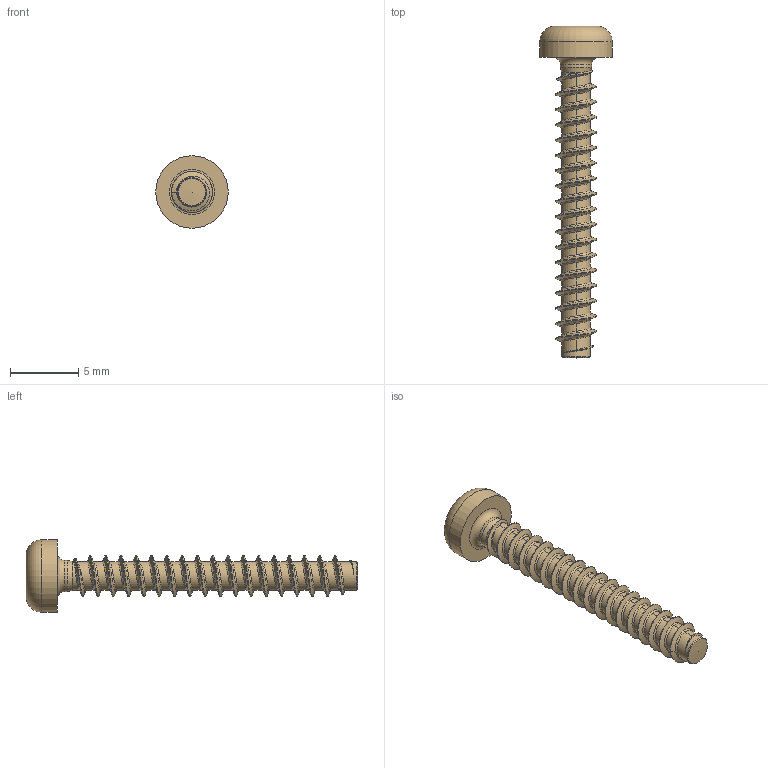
import cadquery as cq
import math

head_diameter = 5.3
head_height = 2.3
head_round = head_height / 2
shank_length = 22.0

neck_diameter = 2.3
neck_fillet = 0.5
neck_length = 0.73
neck_taper_length = 0.35

core_diameter = 2.1
tip_diameter = 2.02
tip_chamfer_length = 0.06
point_height = 0.04

thread_diameter = 3.0
pitch = 1.12
crest_width = 0.05
knee_diameter = 2.26
knee_width = 0.32
flare_width = 0.56
root_depth_in_core = 0.05
runout_start_scale = 0.08
tip_full_thread = 1.39
full_turns = 16.75
tip_runout_turns = 1.0
head_runout_turns = 1.25
full_thread_angle = 180.0

head_radius = head_diameter / 2
neck_radius = neck_diameter / 2
core_radius = core_diameter / 2
tip_radius = tip_diameter / 2
crest_radius = thread_diameter / 2
knee_radius = knee_diameter / 2
root_radius = core_radius - root_depth_in_core
flare_slope = (flare_width - knee_width) / (knee_radius - core_radius)
root_width = flare_width + flare_slope * root_depth_in_core


def make_body():
    """Head, neck and plain core as one turned profile."""
    shoulder = head_radius - head_round
    arc_reach = math.sqrt(0.5)
    tip_edge = point_height - shank_length
    profile = (
        cq.Workplane("ZY")
        .moveTo(0, head_height)
        .lineTo(shoulder, head_height)
        .threePointArc(
            (shoulder + head_round * arc_reach, head_height - head_round * (1 - arc_reach)),
            (head_radius, head_height - head_round),
        )
        .lineTo(head_radius, 0)
        .lineTo(neck_radius + neck_fillet, 0)
        .threePointArc(
            (neck_radius + neck_fillet * (1 - arc_reach), -neck_fillet * (1 - arc_reach)),
            (neck_radius, -neck_fillet),
        )
        .lineTo(neck_radius, -neck_length)
        .lineTo(core_radius, -neck_length - neck_taper_length)
        .lineTo(core_radius, tip_edge + tip_chamfer_length)
        .lineTo(tip_radius, tip_edge)
        .lineTo(0, -shank_length)
        .close()
    )
    return profile.revolve(360, (0, 0, 0), (0, 1, 0))


def helix(turns, start_radius, end_radius, start_offset, end_offset):
    """Right-hand helix about Z from over the X axis, never narrowing, with its ends moved along Z."""
    height = turns * pitch + end_offset - start_offset
    lead = height / turns
    if start_radius == end_radius:
        wire = cq.Wire.makeHelix(lead, height, start_radius)
    else:
        cone_angle = math.atan2(end_radius - start_radius, height)
        slant = 1 / math.cos(cone_angle)
        wire = cq.Wire.makeHelix(
            lead * slant, height * slant, start_radius, angle=math.degrees(cone_angle)
        )
    return wire.translate(cq.Vector(0, 0, start_offset))


def thread_ridge(turns, start_scale):
    """Ridge about Z from over the X axis at Z = 0; its section grows from start_scale to full size."""
    section = [
        (root_radius, -root_width / 2),
        (knee_radius, -knee_width / 2),
        (crest_radius, -crest_width / 2),
        (crest_radius, crest_width / 2),
        (knee_radius, knee_width / 2),
        (root_radius, root_width / 2),
    ]
    rails = []
    for radius, offset in section:
        start_radius = root_radius + start_scale * (radius - root_radius)
        rails.append(helix(turns, start_radius, radius, start_scale * offset, offset))
    faces = [
        cq.Face.makeRuledSurface(rail, following)
        for rail, following in zip(rails, rails[1:] + rails[:1])
    ]
    for place in (0, 1):
        corners = [rail.positionAt(place) for rail in rails]
        faces.append(cq.Face.makeFromWires(cq.Wire.makePolygon(corners, close=True)))
    return cq.Solid.makeSolid(cq.Shell.makeShell(faces))


def place_on_shank(ridge, start_angle, start_position):
    """Turn a ridge from the Z axis onto the Y axis, starting at an angle from +X and a Y position."""
    turned = ridge.rotate(cq.Vector(0, 0, 0), cq.Vector(0, 0, 1), start_angle)
    laid = turned.rotate(cq.Vector(0, 0, 0), cq.Vector(1, 0, 0), -90)
    return laid.translate(cq.Vector(0, start_position, 0))


def make_thread():
    """Tip run-out, full thread and head run-out, joined end to end."""
    full_start = tip_full_thread - shank_length
    tip_runout = thread_ridge(tip_runout_turns, runout_start_scale)
    full_thread = thread_ridge(full_turns, 1.0)
    head_runout = thread_ridge(head_runout_turns, runout_start_scale)
    head_runout = head_runout.rotate(cq.Vector(0, 0, 0), cq.Vector(1, 0, 0), 180)
    head_end_turns = full_turns + head_runout_turns
    return [
        place_on_shank(
            tip_runout,
            full_thread_angle - 360 * tip_runout_turns,
            full_start - pitch * tip_runout_turns,
        ),
        place_on_shank(full_thread, full_thread_angle, full_start),
        place_on_shank(
            head_runout,
            full_thread_angle + 360 * head_end_turns,
            full_start + pitch * head_end_turns,
        ),
    ]


result = make_body()
for stretch in make_thread():
    result = result.union(cq.Workplane(stretch))